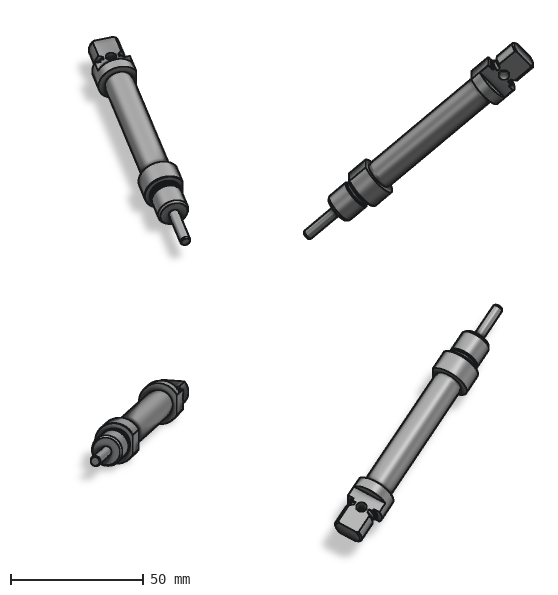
import cadquery as cq

TOTAL_LENGTH = 111.0
SPIGOT_RADIUS = 6.0
GROOVE_RADIUS = 5.0
COLLAR_RADIUS = 8.0
COLLAR_FLAT_Y = 7.0

TONGUE_END_CHAMFER = 0.4
TONGUE_END_RADIUS = 5.3
TONGUE_LENGTH = 8.4
REAR_GROOVE_START = 9.4
REAR_GROOVE_END = 10.8
REAR_LAND_RADIUS = 5.7
REAR_LAND_START = 11.1
REAR_COLLAR_START = 11.8
FLATS_END = 16.1
REAR_COLLAR_END = 20.4
TONGUE_THICKNESS = 8.0
EYE_DIAMETER = 4.0
EYE_X = 10.1

FRONT_COLLAR_START = 74.4
BARREL_RADIUS = 5.7
BARREL_END_RADIUS = 5.3
BARREL_TAPER = 1.5

FRONT_COLLAR_END = 82.9
FRONT_COLLAR_CHAMFER = 0.3
FRONT_COLLAR_CHAMFER_DEPTH = 0.1
FRONT_LAND_CHAMFER = 0.3
FRONT_LAND_CHAMFER_DEPTH = 0.2
FRONT_GROOVE_START = 84.0
FRONT_GROOVE_BEVEL = 0.3
SPIGOT_START = 85.7
SPIGOT_END_CHAMFER = 1.0
SPIGOT_END_RADIUS = 5.3
FRONT_CAP_END = 95.0

ROD_RADIUS = 2.0
ROD_CHAMFER = 0.7
ROD_CHAMFER_DEPTH = 0.3


def turned(profile):
    """Revolve (x, radius) points, closed along the X axis, around that axis into a solid."""
    start_x = profile[0][0]
    end_x = profile[-1][0]
    outline = [(start_x, 0), *profile, (end_x, 0)]
    return cq.Workplane("XZ").polyline(outline).close().revolve(360, (0, 0, 0), (1, 0, 0))


def block(x_start, x_end, y_start, y_end, z_start, z_end):
    """Axis-aligned box given by its limits."""
    size = (x_end - x_start, y_end - y_start, z_end - z_start)
    return cq.Workplane("XY").box(*size, centered=False).translate((x_start, y_start, z_start))


def cut_side_flat(cap, x_start, x_end):
    """Cut the +Y flat along a collar."""
    return cap.cut(block(x_start, x_end, COLLAR_FLAT_Y, COLLAR_RADIUS, -COLLAR_RADIUS, COLLAR_RADIUS))


def make_rear_cap():
    cap = turned([
        (0, TONGUE_END_RADIUS),
        (TONGUE_END_CHAMFER, SPIGOT_RADIUS),
        (TONGUE_LENGTH, SPIGOT_RADIUS),
        (REAR_GROOVE_START, GROOVE_RADIUS),
        (REAR_GROOVE_END, GROOVE_RADIUS),
        (REAR_GROOVE_END, REAR_LAND_RADIUS),
        (REAR_LAND_START, SPIGOT_RADIUS),
        (REAR_COLLAR_START, SPIGOT_RADIUS),
        (REAR_COLLAR_START, COLLAR_RADIUS),
        (REAR_COLLAR_END, COLLAR_RADIUS),
    ])
    cap = cut_side_flat(cap, REAR_COLLAR_START, REAR_COLLAR_END)

    half_thickness = TONGUE_THICKNESS / 2
    for z_start, z_end in [(half_thickness, COLLAR_RADIUS), (-COLLAR_RADIUS, -half_thickness)]:
        cap = cap.cut(block(0, FLATS_END, -COLLAR_RADIUS, COLLAR_RADIUS, z_start, z_end))

    eye = cq.Workplane("XY").center(EYE_X, 0).circle(EYE_DIAMETER / 2).extrude(half_thickness, both=True)
    return cap.cut(eye)


def make_barrel():
    return turned([
        (REAR_COLLAR_END, BARREL_END_RADIUS),
        (REAR_COLLAR_END + BARREL_TAPER, BARREL_RADIUS),
        (FRONT_COLLAR_START - BARREL_TAPER, BARREL_RADIUS),
        (FRONT_COLLAR_START, BARREL_END_RADIUS),
    ])


def make_front_cap():
    cap = turned([
        (FRONT_COLLAR_START, COLLAR_RADIUS),
        (FRONT_COLLAR_END - FRONT_COLLAR_CHAMFER, COLLAR_RADIUS),
        (FRONT_COLLAR_END, COLLAR_RADIUS - FRONT_COLLAR_CHAMFER_DEPTH),
        (FRONT_COLLAR_END, SPIGOT_RADIUS),
        (FRONT_GROOVE_START - FRONT_LAND_CHAMFER, SPIGOT_RADIUS),
        (FRONT_GROOVE_START, SPIGOT_RADIUS - FRONT_LAND_CHAMFER_DEPTH),
        (FRONT_GROOVE_START, GROOVE_RADIUS),
        (SPIGOT_START - FRONT_GROOVE_BEVEL, GROOVE_RADIUS),
        (SPIGOT_START, GROOVE_RADIUS + FRONT_GROOVE_BEVEL),
        (SPIGOT_START, SPIGOT_RADIUS),
        (FRONT_CAP_END - SPIGOT_END_CHAMFER, SPIGOT_RADIUS),
        (FRONT_CAP_END, SPIGOT_END_RADIUS),
    ])
    return cut_side_flat(cap, FRONT_COLLAR_START, FRONT_COLLAR_END)


def make_piston_rod():
    return turned([
        (FRONT_CAP_END, ROD_RADIUS),
        (TOTAL_LENGTH - ROD_CHAMFER, ROD_RADIUS),
        (TOTAL_LENGTH, ROD_RADIUS - ROD_CHAMFER_DEPTH),
    ])


rear_cap = make_rear_cap()
barrel = make_barrel()
front_cap = make_front_cap()
piston_rod = make_piston_rod()

result = cq.Compound.makeCompound([
    rear_cap.val(),
    barrel.val(),
    front_cap.val(),
    piston_rod.val(),
])